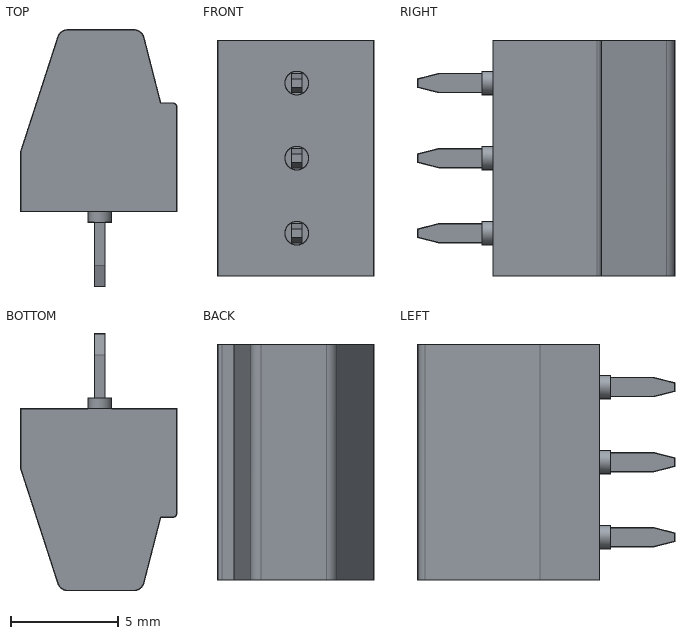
import cadquery as cq

overall_depth = 12.0
housing_width = 7.3
housing_depth = 8.5
housing_height = 11.0

wire_side_wall = 2.8
wire_side_inset = 1.85
step_depth = 5.08
step_width = 0.75
step_side_inset = 1.63
top_radius = 0.5
step_radius = 0.2

pin_count = 3
pin_pitch = 3.5
pin_offset = 0.05
pin_length = overall_depth - housing_depth
collar_diameter = 1.1
collar_length = 0.5
blade_thickness = 0.5
blade_height = 0.9
tip_height = 0.4
tip_length = 1.0


def make_housing():
    left = -housing_width / 2
    right = housing_width / 2
    top_left = (left + wire_side_inset, housing_depth)
    top_right = (right - step_side_inset, housing_depth)
    step_corner = (right, step_depth)
    outline = [
        (left, 0),
        (right, 0),
        step_corner,
        (right - step_width, step_depth),
        top_right,
        top_left,
        (left, wire_side_wall),
    ]
    body = cq.Workplane("XY").polyline(outline).close().extrude(housing_height / 2, both=True)
    body = fillet_upright_edge(body, top_left, top_radius)
    body = fillet_upright_edge(body, top_right, top_radius)
    return fillet_upright_edge(body, step_corner, step_radius)


def fillet_upright_edge(body, corner, radius):
    """Round the edge parallel to Z that passes through the given outline corner."""
    edge = cq.selectors.NearestToPointSelector((corner[0], corner[1], 0))
    return body.edges("|Z").edges(edge).fillet(radius)


def make_pin():
    """One pin with its axis along -Y, starting at the origin."""
    collar = cq.Workplane("XZ").circle(collar_diameter / 2).extrude(collar_length)
    blade_outline = [
        (0, -blade_height / 2),
        (0, blade_height / 2),
        (tip_length - pin_length, blade_height / 2),
        (-pin_length, tip_height / 2),
        (-pin_length, -tip_height / 2),
        (tip_length - pin_length, -blade_height / 2),
    ]
    blade = cq.Workplane("YZ").polyline(blade_outline).close().extrude(blade_thickness / 2, both=True)
    return collar.union(blade)


result = make_housing()
pin = make_pin()
for index in range(pin_count):
    pin_z = (index - (pin_count - 1) / 2) * pin_pitch
    result = result.union(pin.translate((pin_offset, 0, pin_z)))